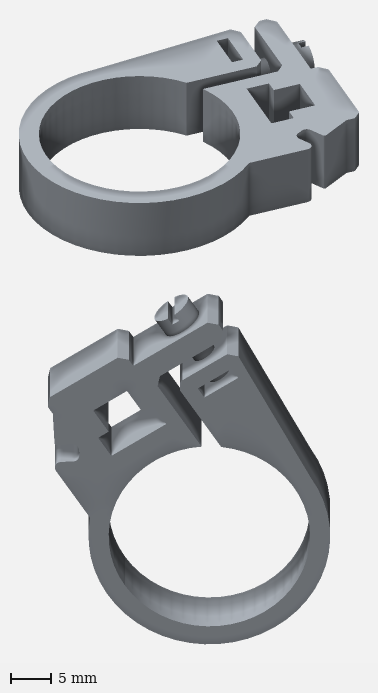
import cadquery as cq
import math

thickness = 8.0
ring_outer_radius = 15.0
ring_bore_radius = 12.5

gap_left = -8.0
gap_right = -6.0
chamfer = 1.0

jaw_top = 20.0
jaw_left = -16.65
window_left = -15.0
window_bottom = 16.5
window_width = 5.0
window_height = 1.5

arm_left = -17.0
arm_bottom = 22.0
arm_top = 25.0

block_left = -5.0
block_right = 7.0
block_top = 27.0
neck_right = 11.0
neck_base = 8.0

pocket_center_x = 0.05
pocket_bottom = 16.0
pocket_step = 19.0
pocket_top = 22.5
pocket_wide_width = 8.1
pocket_narrow_width = 5.0

notch_angle = math.radians(30.0)
notch_floor = 15.5
notch_face = 18.5
notch_lower_side = 11.3
notch_upper_side = 13.65
notch_radius = 0.8
tip_radius = 0.25

screw_x = -12.25
shank_diameter = 3.0
head_diameter = 5.0
head_height = 2.5
drive_slot_width = 1.0
drive_slot_depth = 1.0


def plate(points):
    """Full-thickness prism over a closed polygon."""
    return cq.Workplane("XY").polyline(points).close().extrude(thickness)


def rectangle(left, right, bottom, top):
    return plate([(left, bottom), (right, bottom), (right, top), (left, top)])


def notch_point(along, across):
    """XY position of a point given in the tilted notch directions."""
    return (
        along * math.cos(notch_angle) - across * math.sin(notch_angle),
        along * math.sin(notch_angle) + across * math.cos(notch_angle),
    )


def round_corner(body, corner, radius):
    """Fillet the Z-parallel edge that stands at an XY corner."""
    edge_point = (corner[0], corner[1], thickness / 2)
    return body.edges(cq.selectors.NearestToPointSelector(edge_point)).fillet(radius)


def make_ring():
    return cq.Workplane("XY").circle(ring_outer_radius).extrude(thickness)


def make_jaw():
    return plate([
        (-ring_outer_radius, 0),
        (jaw_left, jaw_top - chamfer),
        (jaw_left + chamfer, jaw_top),
        (gap_left - chamfer, jaw_top),
        (gap_left, jaw_top - chamfer),
        (gap_left, 0),
    ])


def make_block():
    """Neck, arm, block and snap notch as one outline, rounded at the notch."""
    face_start_y = (notch_face - block_right * math.cos(notch_angle)) / math.sin(notch_angle)
    lip_y = (notch_lower_side + neck_right * math.sin(notch_angle)) / math.cos(notch_angle)

    tip = notch_point(notch_face, notch_upper_side)
    floor_upper = notch_point(notch_floor, notch_upper_side)
    floor_lower = notch_point(notch_floor, notch_lower_side)
    lip = (neck_right, lip_y)

    block = plate([
        (gap_right, neck_base),
        (gap_right, arm_bottom - chamfer),
        (gap_right - chamfer, arm_bottom),
        (arm_left + chamfer, arm_bottom),
        (arm_left, arm_bottom + chamfer),
        (arm_left, arm_top - chamfer),
        (arm_left + chamfer, arm_top),
        (block_left, arm_top),
        (block_left, block_top - chamfer),
        (block_left + chamfer, block_top),
        (block_right - chamfer, block_top),
        (block_right, block_top - chamfer),
        (block_right, face_start_y),
        tip,
        floor_upper,
        floor_lower,
        lip,
        (neck_right, neck_base),
    ])
    block = round_corner(block, tip, tip_radius)
    for corner in (floor_upper, floor_lower, lip):
        block = round_corner(block, corner, notch_radius)
    return block


def make_pocket():
    half_wide = pocket_wide_width / 2
    half_narrow = pocket_narrow_width / 2
    wide = rectangle(pocket_center_x - half_wide, pocket_center_x + half_wide, pocket_bottom, pocket_step)
    narrow = rectangle(pocket_center_x - half_narrow, pocket_center_x + half_narrow, pocket_bottom, pocket_top)
    return wide.union(narrow)


def make_window():
    return rectangle(
        window_left,
        window_left + window_width,
        window_bottom,
        window_bottom + window_height,
    )


def y_cylinder(diameter, start_y, end_y):
    """Cylinder on the screw axis between two Y positions."""
    base = cq.Plane(origin=(screw_x, start_y, thickness / 2), xDir=(0, 0, 1), normal=(0, 1, 0))
    return cq.Workplane(base).circle(diameter / 2).extrude(end_y - start_y)


def make_screw():
    head_top = arm_top + head_height
    shank = y_cylinder(shank_diameter, window_bottom, arm_top)
    head = y_cylinder(head_diameter, arm_top, head_top)
    drive_slot = rectangle(
        screw_x - drive_slot_width / 2,
        screw_x + drive_slot_width / 2,
        head_top - drive_slot_depth,
        head_top,
    )
    return shank.union(head.cut(drive_slot))


bore = cq.Workplane("XY").circle(ring_bore_radius).extrude(thickness)
clamp_gap = rectangle(gap_left, gap_right, 0, jaw_top)

clamp = make_ring().union(make_jaw()).cut(clamp_gap).union(make_block())
clamp = clamp.cut(bore).cut(make_pocket()).cut(make_window())

result = clamp.union(make_screw())